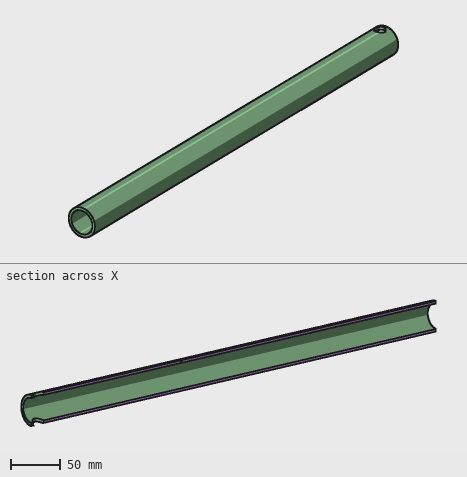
import cadquery as cq

tube_length = 520.5
outer_diameter = 33.5
bore_diameter = 26.5

cross_hole_diameter = 12.5
cross_hole_end_distance = 9.5

tube = (
    cq.Workplane("XZ", origin=(0, tube_length / 2, 0))
    .circle(outer_diameter / 2)
    .circle(bore_diameter / 2)
    .extrude(tube_length)
)

cross_hole_y = tube_length / 2 - cross_hole_end_distance
cross_hole = (
    cq.Workplane("XY", origin=(0, cross_hole_y, 0))
    .circle(cross_hole_diameter / 2)
    .extrude(outer_diameter, both=True)
)

result = tube.cut(cross_hole)